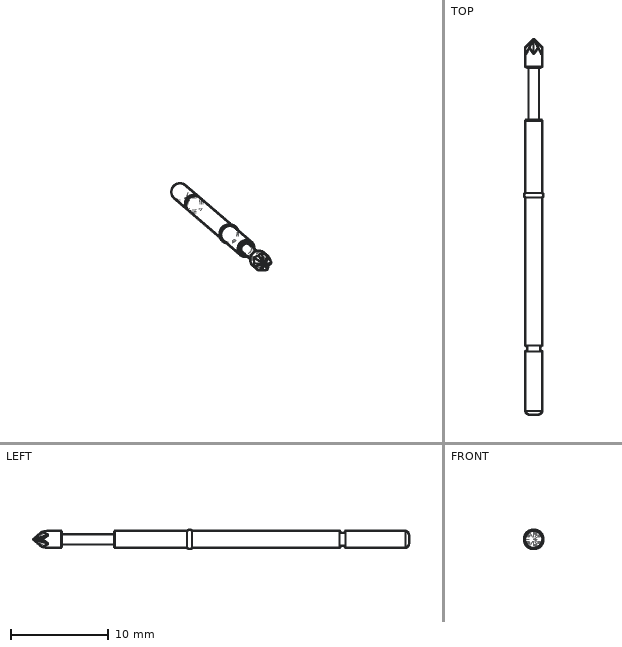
import cadquery as cq
import math

LENGTH = 38.7

BARREL_RADIUS = 0.9
BARREL_LENGTH = 30.38
MOUTH_CHAMFER = 0.1
BACK_ARC_RADIUS = 0.55
BACK_ARC_LENGTH = 0.4

GROOVE_CENTER = 6.85
GROOVE_WIDTH = 0.6
GROOVE_DEPTH = 0.25

RING_CENTER = 22.6
RING_WIDTH = 0.5
RING_RADIUS = 1.0

SHAFT_RADIUS = 0.55
HEAD_RADIUS = BARREL_RADIUS
HEAD_LENGTH = 2.98
HEAD_CHAMFER_LENGTH = 0.1
HEAD_CHAMFER_DEPTH = 0.25

RIDGE_COUNT = 6
RIDGE_ANGLE = 45.0
VALLEY_ANGLE = 30.0


def rod(radius, start, end):
    """Round rod along Y."""
    return cq.Workplane("XZ", origin=(0, start, 0)).circle(radius).extrude(start - end)


def revolve_around_axis(section):
    """Full turn of a closed section around the probe axis."""
    return section.revolve(360, (0, 0, 0), (0, 1, 0))


def make_barrel():
    """Barrel with a chamfered mouth and a back end rounded into a small flat."""
    arc_center_y = BACK_ARC_RADIUS
    arc_reach = math.sqrt(BACK_ARC_RADIUS**2 - (arc_center_y - BACK_ARC_LENGTH) ** 2)
    back_flat_radius = BARREL_RADIUS - arc_reach
    section = (
        cq.Workplane("XY")
        .lineTo(back_flat_radius, 0)
        .radiusArc((BARREL_RADIUS, BACK_ARC_LENGTH), -BACK_ARC_RADIUS)
        .lineTo(BARREL_RADIUS, BARREL_LENGTH - MOUTH_CHAMFER)
        .lineTo(BARREL_RADIUS - MOUTH_CHAMFER, BARREL_LENGTH)
        .lineTo(0, BARREL_LENGTH)
        .close()
    )
    return revolve_around_axis(section)


def make_arched_band(center, width, crown_radius):
    """Band on the barrel surface whose section is an arc rising or sinking to the crown radius."""
    section = (
        cq.Workplane("XY")
        .moveTo(BARREL_RADIUS, center - width / 2)
        .threePointArc((crown_radius, center), (BARREL_RADIUS, center + width / 2))
        .close()
    )
    return revolve_around_axis(section)


def make_star_pyramid(height):
    """Pyramid on a star-shaped base, with its apex at the probe tip."""
    apex = cq.Vector(0, LENGTH, 0)
    corner_count = 2 * RIDGE_COUNT
    corners = []
    for i in range(corner_count):
        angle_from_axis = RIDGE_ANGLE if i % 2 == 0 else VALLEY_ANGLE
        radius = height * math.tan(math.radians(angle_from_axis))
        turn = 2 * math.pi * i / corner_count
        corners.append(cq.Vector(radius * math.cos(turn), LENGTH - height, radius * math.sin(turn)))

    faces = [cq.Face.makeFromWires(cq.Wire.makePolygon(corners, close=True))]
    for i, corner in enumerate(corners):
        triangle = cq.Wire.makePolygon([corner, corners[i - 1], apex], close=True)
        faces.append(cq.Face.makeFromWires(triangle))
    return cq.Workplane(cq.Solid.makeSolid(cq.Shell.makeShell(faces)))


def make_head():
    """Round head, chamfered at the shaft and cut to a star point at the tip."""
    head = rod(HEAD_RADIUS, LENGTH - HEAD_LENGTH, LENGTH)
    head = head.faces("<Y").chamfer(HEAD_CHAMFER_LENGTH, HEAD_CHAMFER_DEPTH)
    return head.intersect(make_star_pyramid(2 * HEAD_LENGTH))


ring = make_arched_band(RING_CENTER, RING_WIDTH, RING_RADIUS)
groove = make_arched_band(GROOVE_CENTER, GROOVE_WIDTH, BARREL_RADIUS - GROOVE_DEPTH)
shaft = rod(SHAFT_RADIUS, BARREL_LENGTH, LENGTH - HEAD_LENGTH)

result = make_barrel().union(ring).cut(groove).union(shaft).union(make_head())